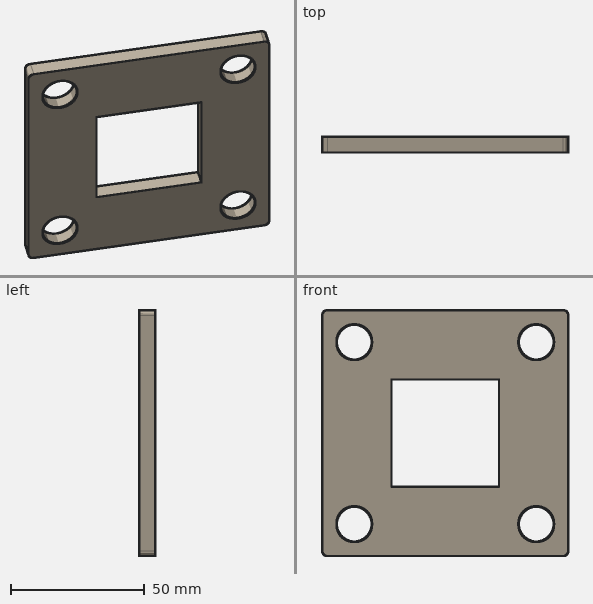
import cadquery as cq

plate_side = 92.0
plate_thickness = 6.0
corner_radius = 2.0

window_side = 40.0

hole_spacing = 68.0
hole_diameter = 13.0
hole_chamfer = 0.25


def make_plate():
    plate = cq.Workplane("XZ").rect(plate_side, plate_side).extrude(plate_thickness / 2, both=True)
    return plate.edges("|Y").fillet(corner_radius)


def make_window():
    return cq.Workplane("XZ").rect(window_side, window_side).extrude(plate_thickness, both=True)


def make_bolt_hole():
    """Through hole along Y with a small chamfer at both plate faces."""
    half_thickness = plate_thickness / 2
    hole_radius = hole_diameter / 2
    mouth_radius = hole_radius + hole_chamfer
    return (
        cq.Workplane("XY")
        .moveTo(0, -half_thickness)
        .lineTo(mouth_radius, -half_thickness)
        .lineTo(hole_radius, -half_thickness + hole_chamfer)
        .lineTo(hole_radius, half_thickness - hole_chamfer)
        .lineTo(mouth_radius, half_thickness)
        .lineTo(0, half_thickness)
        .close()
        .revolve(360, (0, 0, 0), (0, 1, 0))
    )


result = make_plate().cut(make_window())
for x_side in (-1, 1):
    for z_side in (-1, 1):
        hole_position = (x_side * hole_spacing / 2, 0, z_side * hole_spacing / 2)
        result = result.cut(make_bolt_hole().translate(hole_position))